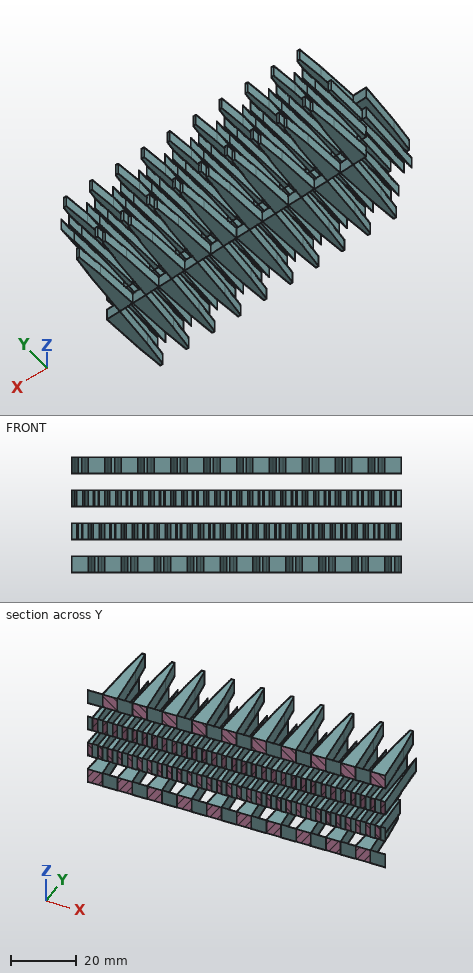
import cadquery as cq

LENGTH = 100.0
WIDTH = 47.5
CELL_WIDTH = 5.0
CELL_COUNT = round(LENGTH / CELL_WIDTH)
LAYER_THICKNESS = 5.0
LAYER_PITCH = 10.0

TIP_REACH = WIDTH / 2
SPIKE_REACH = 14.7
SPINE_WIDTH = 0.02
ROOT_REACH = SPINE_WIDTH / 2

BEND_WIDTH = 3.0
FLAT_TIP_WIDTH = 1.0
SPIKE_ROOT_WIDTH = 1.8
BLADE_ROOT_WIDTH = (CELL_WIDTH - SPIKE_ROOT_WIDTH) / 2
BLADE_TIP_INSET = 1.0

CELL_EDGE = (CELL_WIDTH / 2, ROOT_REACH)
NO_TOOTH = [CELL_EDGE]
BROAD_TOOTH = [
    CELL_EDGE,
    (BEND_WIDTH / 2, SPIKE_REACH),
    (FLAT_TIP_WIDTH / 2, TIP_REACH),
]
SPIKE = [
    CELL_EDGE,
    (SPIKE_ROOT_WIDTH / 2, ROOT_REACH),
    (FLAT_TIP_WIDTH / 2, SPIKE_REACH),
]
BLADE_PAIR = [
    CELL_EDGE,
    (CELL_WIDTH / 2 - BLADE_TIP_INSET, TIP_REACH),
    (CELL_WIDTH / 2 - BLADE_ROOT_WIDTH, ROOT_REACH),
]


def toothed_side(even_cell, odd_cell):
    """Points (x, reach) of one side of a comb, from x = 0 to x = LENGTH."""
    points = [(0, ROOT_REACH)]
    for cell in range(CELL_COUNT):
        half_profile = odd_cell if cell % 2 else even_cell
        middle = (cell + 0.5) * CELL_WIDTH
        points += [(middle - offset, reach) for offset, reach in half_profile[1:]]
        points += [(middle + offset, reach) for offset, reach in reversed(half_profile)]
    return points


def comb(layer, front_cells, back_cells):
    """One flat comb; the cells of each side are given as (even cell, odd cell)."""
    front = [(x, -reach) for x, reach in toothed_side(*front_cells)]
    back = toothed_side(*back_cells)
    outline = front + back[::-1]
    plane = cq.Workplane("XY").workplane(offset=layer * LAYER_PITCH)
    return plane.polyline(outline).close().extrude(LAYER_THICKNESS)


bottom_broad_comb = comb(0, front_cells=(NO_TOOTH, BROAD_TOOTH), back_cells=(BROAD_TOOTH, NO_TOOTH))
lower_forked_comb = comb(1, front_cells=(SPIKE, BLADE_PAIR), back_cells=(BLADE_PAIR, SPIKE))
upper_forked_comb = comb(2, front_cells=(BLADE_PAIR, SPIKE), back_cells=(SPIKE, BLADE_PAIR))
top_broad_comb = comb(3, front_cells=(BROAD_TOOTH, NO_TOOTH), back_cells=(NO_TOOTH, BROAD_TOOTH))

result = cq.Compound.makeCompound([
    bottom_broad_comb.val(),
    lower_forked_comb.val(),
    upper_forked_comb.val(),
    top_broad_comb.val(),
])